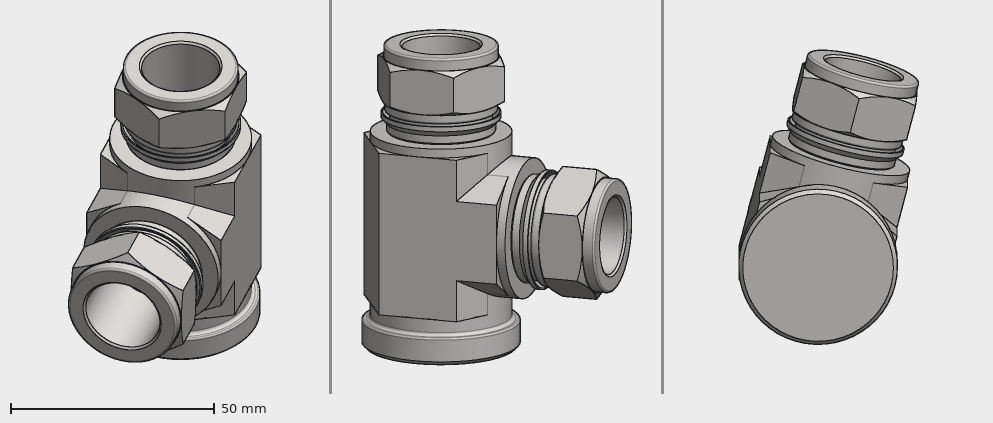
import cadquery as cq
import math

centre_height = 31.8
arm_length = 44.85

hexagon_sides = 6

body_flats = 34.9
body_radius = body_flats / 2
body_hex_end = 20.55
collar_end = 22.8

flange_radius = 39.0 / 2
flange_height = 7.0
flange_bottom_chamfer = 1.0
flange_top_round = 0.45
flange_root_fillet = 0.9

groove_radius = 25.4 / 2
neck_radius = 26.9 / 2
ring_radius = 29.5 / 2
skirt_radius = 27.8 / 2
neck_foot_chamfer = 0.4
ring_cone_start = 25.1
ring_rim_start = 26.45
ring_end = 27.7
ring_lip_width = 0.4
skirt_start = 28.1
skirt_round = 0.4

nut_flats = 28.7
nut_start = 30.4
nut_end = 41.8
nut_chamfer_angle = math.radians(30)
nose_radius = 28.2 / 2
nose_round = 0.5
bore_radius = 19.25 / 2
bore_chamfer = 0.5


def corner_radius(flats):
    """Distance from the axis to a corner of a hexagon of the given width across flats."""
    return flats / math.sqrt(3)


def hexagon_prism(flats, start, end):
    """Hexagonal prism along Z with flats facing +X and -X."""
    return (
        cq.Workplane("XY", origin=(0, 0, start))
        .polygon(hexagon_sides, 2 * corner_radius(flats))
        .extrude(end - start)
        .rotate((0, 0, 0), (0, 0, 1), 180 / hexagon_sides)
    )


def revolve_profile(points):
    """Solid of revolution about Z from (radius, height) points."""
    return (
        cq.Workplane("XZ")
        .polyline(points)
        .close()
        .revolve(360, (0, 0, 0), (0, 1, 0))
    )


def cylinder(radius, start, end):
    return cq.Workplane("XY", origin=(0, 0, start)).circle(radius).extrude(end - start)


def rounded_corner(side, start, end):
    """Block around one Y corner of the body hexagon, less the body cylinder."""
    block = cq.Workplane("XY", origin=(0, side * body_flats / 2, (start + end) / 2)).box(
        body_radius, body_flats, end - start
    )
    return block.cut(cylinder(body_radius, start, end))


def body_run():
    """Vertical body; its -Y corner is turned down to the body cylinder."""
    hexagon = hexagon_prism(body_flats, -body_hex_end, body_hex_end)
    hexagon = hexagon.cut(rounded_corner(-1, -body_hex_end, body_hex_end))
    return hexagon.union(cylinder(body_radius, -centre_height, collar_end))


def body_branch():
    """Branch body, built along Z; both of its Y corners are turned down."""
    hexagon = hexagon_prism(body_flats, 0, body_hex_end)
    for side in (-1, 1):
        hexagon = hexagon.cut(rounded_corner(side, 0, body_hex_end))
    return hexagon.union(cylinder(body_radius, 0, collar_end))


def base_flange():
    """Flange with a chamfered foot, a rounded rim and a filleted root."""
    foot = -centre_height
    top = foot + flange_height
    root_radius = body_radius + flange_root_fillet
    root_top = top + flange_root_fillet
    fillet_offset = flange_root_fillet * (1 - math.sqrt(0.5))
    round_offset = flange_top_round * (1 - math.sqrt(0.5))
    return (
        cq.Workplane("XZ")
        .moveTo(0, foot)
        .lineTo(flange_radius - flange_bottom_chamfer, foot)
        .lineTo(flange_radius, foot + flange_bottom_chamfer)
        .lineTo(flange_radius, top - flange_top_round)
        .threePointArc(
            (flange_radius - round_offset, top - round_offset),
            (flange_radius - flange_top_round, top),
        )
        .lineTo(root_radius, top)
        .threePointArc(
            (body_radius + fillet_offset, top + fillet_offset),
            (body_radius, root_top),
        )
        .lineTo(0, root_top)
        .close()
        .revolve(360, (0, 0, 0), (0, 1, 0))
    )


def neck_and_ring():
    """Neck with a flared ring whose top is dished at 45 degrees down to the groove."""
    lip_radius = ring_radius - ring_lip_width
    dish_depth = lip_radius - groove_radius
    return revolve_profile([
        (0, collar_end),
        (neck_radius - neck_foot_chamfer, collar_end),
        (neck_radius, collar_end + neck_foot_chamfer),
        (neck_radius, ring_cone_start),
        (ring_radius, ring_rim_start),
        (ring_radius, ring_end),
        (lip_radius, ring_end),
        (groove_radius, ring_end - dish_depth),
        (groove_radius, skirt_start),
        (0, skirt_start),
    ])


def nut():
    """Hexagon with both ends chamfered on its corners, a round nose and a skirt."""
    flat_radius = nut_flats / 2
    tip_radius = corner_radius(nut_flats)
    chamfer_height = (tip_radius - flat_radius) * math.tan(nut_chamfer_angle)
    corner_limit = revolve_profile([
        (0, nut_start),
        (flat_radius, nut_start),
        (tip_radius, nut_start + chamfer_height),
        (tip_radius, nut_end - chamfer_height),
        (flat_radius, nut_end),
        (0, nut_end),
    ])
    hexagon = hexagon_prism(nut_flats, nut_start, nut_end).intersect(corner_limit)
    nose = cylinder(nose_radius, nut_end, arm_length).faces(">Z").edges().fillet(nose_round)
    skirt = cylinder(skirt_radius, skirt_start, nut_start).faces("<Z").edges().fillet(skirt_round)
    return hexagon.union(nose).union(skirt)


def tube_socket():
    """Blind bore from the nose down to the body collar, with a chamfered mouth."""
    return revolve_profile([
        (0, collar_end),
        (bore_radius, collar_end),
        (bore_radius, arm_length - bore_chamfer),
        (bore_radius + bore_chamfer, arm_length),
        (0, arm_length),
    ])


def as_branch(shape):
    """Turn an arm built along +Z so that it points along -Y."""
    return shape.rotate((0, 0, 0), (1, 0, 0), 90)


compression_end = neck_and_ring().union(nut()).cut(tube_socket())

result = (
    body_run()
    .union(as_branch(body_branch()))
    .union(base_flange())
    .union(compression_end)
    .union(as_branch(compression_end))
    .translate((0, 0, centre_height))
)